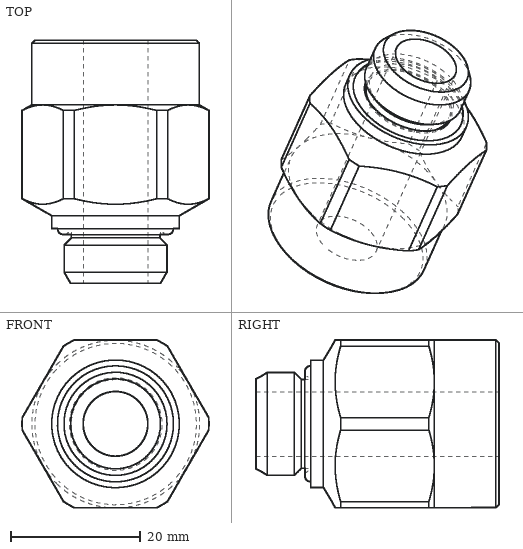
import cadquery as cq
import math

LENGTH = 37.7

ACROSS_FLATS = 26.0
ACROSS_CORNERS = 29.0
HEX_END_ANGLE = 30.0
HEX_REAR = 27.67

COLLAR_CHAMFER = 0.5

FLANGE_DIAMETER = 19.8
FLANGE_FRONT = 8.5
FLANGE_REAR = 10.48
RING_CENTRE_DIAMETER = 16.17
RING_SECTION_DIAMETER = 1.8

SPIGOT_DIAMETER = 16.0
NECK_DIAMETER = 13.8
TIP_DIAMETER = 13.95
TIP_CHAMFER_LENGTH = 1.77
SPIGOT_REAR = 5.95
NECK_FRONT = SPIGOT_REAR + (SPIGOT_DIAMETER - NECK_DIAMETER) / 2

BORE_DIAMETER = 10.0


def revolve_profile(points):
    """Revolve a closed (radius, Y) outline about the Y axis."""
    return cq.Workplane("XY").polyline(points).close().revolve(360, (0, 0, 0), (0, 1, 0))


def cylinder(diameter, start, end):
    """Cylinder along Y between two positions."""
    return cq.Workplane("XZ", origin=(0, start, 0)).circle(diameter / 2).extrude(start - end)


def make_spigot():
    """Spigot chamfered at both ends, with the neck running back to the flange."""
    neck_radius = NECK_DIAMETER / 2
    spigot_radius = SPIGOT_DIAMETER / 2
    return revolve_profile([
        (0, 0),
        (TIP_DIAMETER / 2, 0),
        (spigot_radius, TIP_CHAMFER_LENGTH),
        (spigot_radius, SPIGOT_REAR),
        (neck_radius, NECK_FRONT),
        (neck_radius, FLANGE_FRONT),
        (0, FLANGE_FRONT),
    ])


def make_sealing_ring():
    """Round-section ring centred on the front face of the flange."""
    ring = cq.Solid.makeTorus(
        RING_CENTRE_DIAMETER / 2,
        RING_SECTION_DIAMETER / 2,
        cq.Vector(0, FLANGE_FRONT, 0),
        cq.Vector(0, 1, 0),
    )
    return cq.Workplane(obj=ring)


def make_hexagon():
    """Hexagonal prism trimmed by a turned blank with a cone at each end."""
    prism_diameter = ACROSS_FLATS / math.cos(math.radians(30))
    prism = (
        cq.Workplane("XZ", origin=(0, FLANGE_REAR, 0))
        .polygon(6, prism_diameter)
        .extrude(FLANGE_REAR - HEX_REAR)
    )
    slope = math.tan(math.radians(HEX_END_ANGLE))
    corner_radius = ACROSS_CORNERS / 2
    front_radius = FLANGE_DIAMETER / 2
    rear_radius = ACROSS_FLATS / 2
    blank = revolve_profile([
        (0, FLANGE_REAR),
        (front_radius, FLANGE_REAR),
        (corner_radius, FLANGE_REAR + (corner_radius - front_radius) * slope),
        (corner_radius, HEX_REAR - (corner_radius - rear_radius) * slope),
        (rear_radius, HEX_REAR),
        (0, HEX_REAR),
    ])
    return prism.intersect(blank)


def make_collar():
    """Round rear collar with a chamfered outer edge."""
    return cylinder(ACROSS_FLATS, HEX_REAR, LENGTH).faces(">Y").chamfer(COLLAR_CHAMFER)


flange = cylinder(FLANGE_DIAMETER, FLANGE_FRONT, FLANGE_REAR)
bore = cylinder(BORE_DIAMETER, 0, LENGTH)

result = (
    make_spigot()
    .union(flange)
    .union(make_sealing_ring())
    .union(make_hexagon())
    .union(make_collar())
    .cut(bore)
)